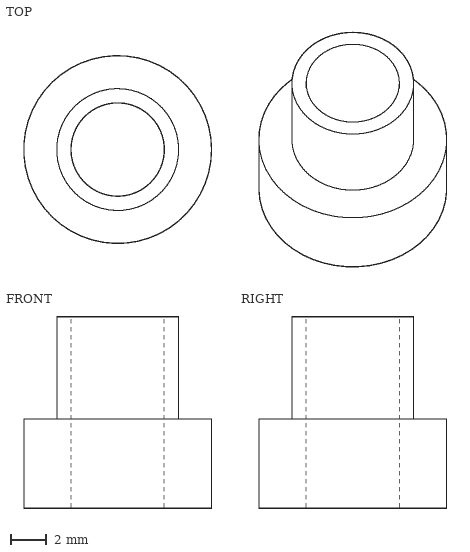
import cadquery as cq

total_height = 10.7
flange_height = 5.0
flange_diameter = 10.5
sleeve_diameter = 6.8
bore_diameter = 5.2

flange = cq.Workplane("XY").circle(flange_diameter / 2).extrude(flange_height)

sleeve_height = total_height - flange_height
body = flange.faces(">Z").workplane().circle(sleeve_diameter / 2).extrude(sleeve_height)

result = body.faces(">Z").workplane().hole(bore_diameter)